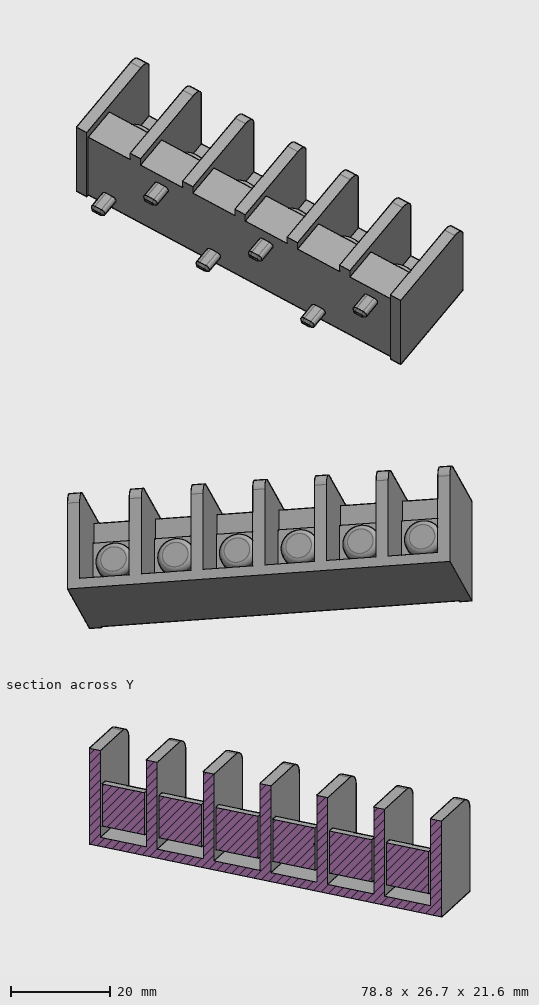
import cadquery as cq

length = 78.75
height = 21.6
depth = 22.1

cell_count = 6
wall = 2.5
pitch = (length - wall) / cell_count
wall_corner_radius = 3.0
end_wall_overhang = 0.55

body_height = 19.45
body_depth = 7.6
floor_thickness = 2.1

pin_length = 4.6
pin_width = 3.3
pin_thickness = 1.7
pin_chamfer = 0.55
pin_rows = (3.0, 15.8)

plate_side = 9.5
plate_thickness = 2.6
screw_diameter = 7.6
screw_height = 2.6
screw_fillet = 1.2
screw_z = sum(pin_rows) / 2


def wall_plate(x, overhang):
    """Barrier wall starting at x, with its upper rear corner rounded."""
    plate = cq.Workplane("XY").box(wall, depth + overhang, height, centered=False)
    plate = plate.edges(">Y and >Z").fillet(wall_corner_radius)
    return plate.translate((x, -overhang, 0))


def pin(x, z):
    """Obround pin pointing toward -Y, chamfered around its tip."""
    return (
        cq.Workplane("XZ", origin=(x, 0, z))
        .slot2D(pin_width, pin_thickness)
        .extrude(pin_length)
        .faces("<Y")
        .chamfer(pin_chamfer)
    )


def clamp(x):
    """Square clamp plate with a rounded screw head, facing +Y."""
    plate = cq.Workplane("XY").box(plate_side, plate_thickness, plate_side)
    plate = plate.translate((x, body_depth + plate_thickness / 2, screw_z))
    head_base = body_depth + plate_thickness
    head = (
        cq.Workplane("XZ", origin=(x, head_base, screw_z))
        .circle(screw_diameter / 2)
        .extrude(-screw_height)
        .faces(">Y")
        .edges()
        .fillet(screw_fillet)
    )
    return plate.union(head)


result = cq.Workplane("XY").box(length, body_depth, body_height, centered=False)
result = result.union(cq.Workplane("XY").box(length, depth, floor_thickness, centered=False))

for i in range(cell_count + 1):
    is_end = i in (0, cell_count)
    result = result.union(wall_plate(i * pitch, end_wall_overhang if is_end else 0))

for i in range(cell_count):
    cell_center = wall / 2 + (i + 0.5) * pitch
    result = result.union(pin(cell_center, pin_rows[i % len(pin_rows)]))
    result = result.union(clamp(cell_center))